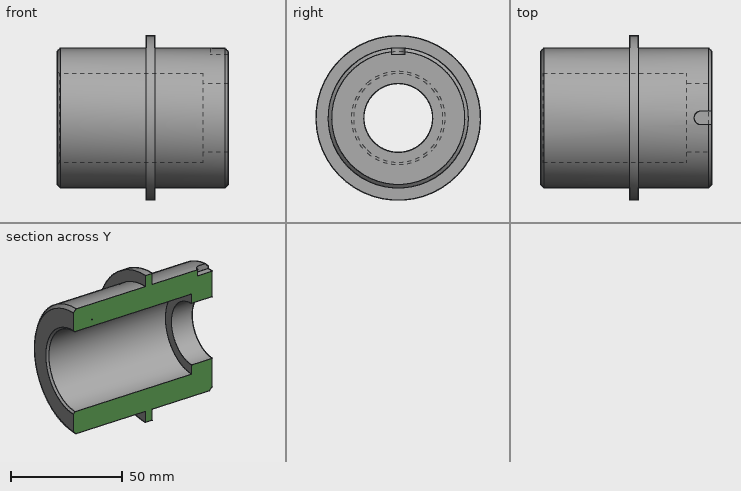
import cadquery as cq

length = 77.0
body_radius = 31.5
end_chamfer = 1.6

flange_radius = 37.0
flange_start = 40.0
flange_width = 3.9
flange_end = flange_start + flange_width

bore_radius = 20.0
bore_chamfer = 1.0
bore_depth = 65.45
through_radius = 15.4

slot_width = 6.15
slot_length = 8.0
slot_depth = 3.1


def make_sleeve():
    """Revolve the outer outline about the X axis."""
    outline = (
        cq.Workplane("XZ")
        .moveTo(0, 0)
        .lineTo(0, body_radius - end_chamfer)
        .lineTo(end_chamfer, body_radius)
        .lineTo(flange_start, body_radius)
        .lineTo(flange_start, flange_radius)
        .lineTo(flange_end, flange_radius)
        .lineTo(flange_end, body_radius)
        .lineTo(length - end_chamfer, body_radius)
        .lineTo(length, body_radius - end_chamfer)
        .lineTo(length, 0)
        .close()
    )
    return outline.revolve(360, (0, 0, 0), (1, 0, 0))


def make_bore():
    """Stepped bore with a chamfered mouth at the left end."""
    outline = (
        cq.Workplane("XZ")
        .moveTo(0, 0)
        .lineTo(0, bore_radius + bore_chamfer)
        .lineTo(bore_chamfer, bore_radius)
        .lineTo(bore_depth, bore_radius)
        .lineTo(bore_depth, through_radius)
        .lineTo(length, through_radius)
        .lineTo(length, 0)
        .close()
    )
    return outline.revolve(360, (0, 0, 0), (1, 0, 0))


def make_slot():
    """Round-ended slot on top, open at the right end face."""
    slot_floor = body_radius - slot_depth
    round_center = length - slot_length + slot_width / 2
    cut_height = flange_radius - slot_floor
    base = cq.Workplane("XY").workplane(offset=slot_floor)
    round_end = base.center(round_center, 0).circle(slot_width / 2).extrude(cut_height)
    straight = (
        base.center(round_center, -slot_width / 2)
        .rect(length - round_center, slot_width, centered=False)
        .extrude(cut_height)
    )
    return round_end.union(straight)


result = make_sleeve().cut(make_bore()).cut(make_slot())